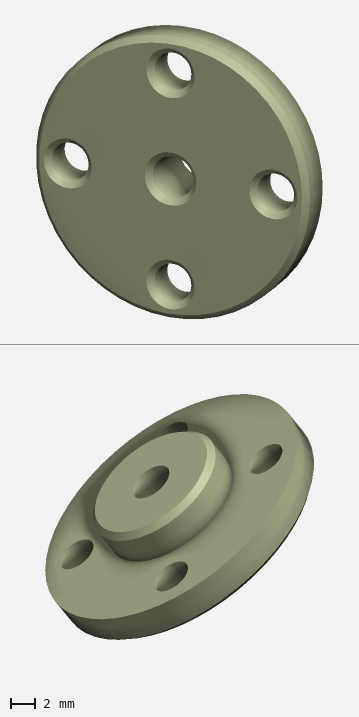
import cadquery as cq

flange_diameter = 24.0
flange_thickness = 3.0
boss_diameter = 11.7
boss_height = 3.0
edge_chamfer = 0.5
center_hole_diameter = 3.5
bolt_hole_diameter = 3.2
bolt_circle_diameter = 18.0
bolt_count = 4

total_depth = flange_thickness + boss_height


def disc(diameter, start_y, length):
    """Cylinder along +Y, starting at start_y."""
    return cq.Workplane("XZ", origin=(0, start_y, 0)).circle(diameter / 2).extrude(-length)


def chamfered_hole(diameter, x, z):
    """Through-hole cutter along Y, widened at the flange face by a 45 degree chamfer."""
    axis = cq.Vector(0, 1, 0)
    start = cq.Vector(x, 0, z)
    radius = diameter / 2
    bore = cq.Solid.makeCylinder(radius, total_depth, start, axis)
    mouth = cq.Solid.makeCone(radius + edge_chamfer, radius, edge_chamfer, start, axis)
    return bore.fuse(mouth)


flange = disc(flange_diameter, 0, flange_thickness).faces("<Y").chamfer(edge_chamfer)
boss = disc(boss_diameter, flange_thickness, boss_height).faces(">Y").chamfer(edge_chamfer)
result = flange.union(boss)

result = result.cut(chamfered_hole(center_hole_diameter, 0, 0))

bolt_points = cq.Workplane("XY").polarArray(bolt_circle_diameter / 2, 0, 360, bolt_count).vals()
for point in bolt_points:
    bolt_x, bolt_z, _ = point.toTuple()[0]
    result = result.cut(chamfered_hole(bolt_hole_diameter, bolt_x, bolt_z))